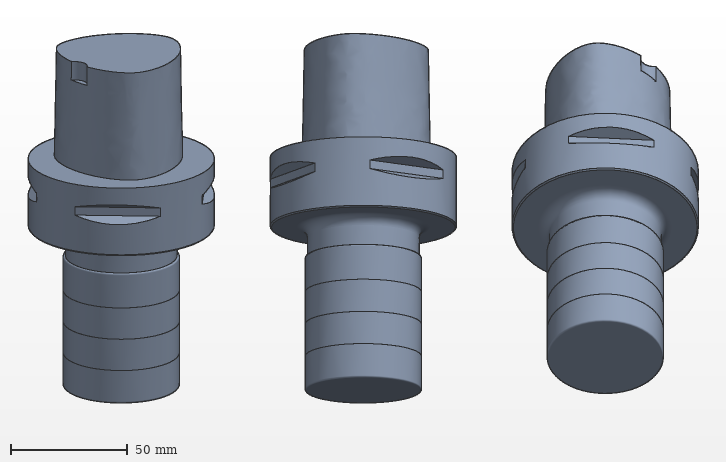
import cadquery as cq
import math

TOTAL_HEIGHT = 150.6
FLANGE_TOP = 102.4
FLANGE_BOTTOM = 71.7

FLANGE_RADIUS = 80.0 / 2
FLANGE_CHAMFER = 0.6
NECK_RADIUS = 48.0 / 2
NECK_FILLET = 4.5

DISC_RADIUS = 50.0 / 2
DISC_STACK_TOP = 58.7
DISC_JOINTS = [43.2, 29.0, 14.9]
DISC_TOP_EDGE_FILLET = 0.9
BOTTOM_EDGE_FILLET = 0.8

SHANK_BASE_RADIUS = 27.5
SHANK_TOP_RADIUS = 26.7
SHANK_LOBE_HEIGHT = 2.0
LOBE_COUNT = 3
OUTLINE_POINTS = 48

NOTCH_RADIUS = 5.9
NOTCH_CENTER_Y = -27.7
NOTCH_DEPTH = 8.3

GROOVE_COUNT = 4
GROOVE_FIRST_ANGLE = 45.0
GROOVE_HEIGHT = 90.4
GROOVE_FLOOR_WIDTH = 3.8
GROOVE_FLOOR_DISTANCE = 35.5
GROOVE_WALL_ANGLE = 30.0


def lobed_outline(height, mean_radius):
    """Closed constant-width curve with one lobe toward +Y."""
    points = []
    for index in range(OUTLINE_POINTS):
        angle = 2 * math.pi * index / OUTLINE_POINTS
        phase = LOBE_COUNT * (angle - math.pi / 2)
        support = mean_radius + SHANK_LOBE_HEIGHT * math.cos(phase)
        slope = -LOBE_COUNT * SHANK_LOBE_HEIGHT * math.sin(phase)
        x = support * math.cos(angle) - slope * math.sin(angle)
        y = support * math.sin(angle) + slope * math.cos(angle)
        points.append(cq.Vector(x, y, height))
    return cq.Wire.assembleEdges([cq.Edge.makeSpline(points, periodic=True)])


def make_shank():
    base = lobed_outline(FLANGE_TOP, SHANK_BASE_RADIUS)
    top = lobed_outline(TOTAL_HEIGHT, SHANK_TOP_RADIUS)
    shank = cq.Workplane(obj=cq.Solid.makeLoft([base, top], True))
    notch = (
        cq.Workplane("XY", origin=(0, NOTCH_CENTER_Y, TOTAL_HEIGHT - NOTCH_DEPTH))
        .circle(NOTCH_RADIUS)
        .extrude(NOTCH_DEPTH)
    )
    return shank.cut(notch)


def make_groove_cutter():
    """Straight trapezoidal bar that opens outward along +X."""
    depth = FLANGE_RADIUS - GROOVE_FLOOR_DISTANCE
    floor_half = GROOVE_FLOOR_WIDTH / 2
    mouth_half = floor_half + depth * math.tan(math.radians(GROOVE_WALL_ANGLE))
    return (
        cq.Workplane("XZ")
        .moveTo(GROOVE_FLOOR_DISTANCE, GROOVE_HEIGHT - floor_half)
        .lineTo(FLANGE_RADIUS, GROOVE_HEIGHT - mouth_half)
        .lineTo(FLANGE_RADIUS, GROOVE_HEIGHT + mouth_half)
        .lineTo(GROOVE_FLOOR_DISTANCE, GROOVE_HEIGHT + floor_half)
        .close()
        .extrude(FLANGE_RADIUS, both=True)
    )


def make_flange_and_neck():
    body = (
        cq.Workplane("XZ")
        .moveTo(0, DISC_STACK_TOP)
        .lineTo(NECK_RADIUS, DISC_STACK_TOP)
        .lineTo(NECK_RADIUS, FLANGE_BOTTOM - NECK_FILLET)
        .radiusArc((NECK_RADIUS + NECK_FILLET, FLANGE_BOTTOM), NECK_FILLET)
        .lineTo(FLANGE_RADIUS - FLANGE_CHAMFER, FLANGE_BOTTOM)
        .lineTo(FLANGE_RADIUS, FLANGE_BOTTOM + FLANGE_CHAMFER)
        .lineTo(FLANGE_RADIUS, FLANGE_TOP)
        .lineTo(0, FLANGE_TOP)
        .close()
        .revolve(360, (0, 0, 0), (0, 1, 0))
    )
    cutter = make_groove_cutter()
    for index in range(GROOVE_COUNT):
        angle = GROOVE_FIRST_ANGLE + index * 360 / GROOVE_COUNT
        body = body.cut(cutter.rotate((0, 0, 0), (0, 0, 1), angle))
    return body


def make_holder():
    return make_flange_and_neck().union(make_shank())


def make_disc(bottom, top):
    disc = cq.Workplane("XY", origin=(0, 0, bottom)).circle(DISC_RADIUS).extrude(top - bottom)
    if top == DISC_STACK_TOP:
        disc = disc.faces(">Z").edges().fillet(DISC_TOP_EDGE_FILLET)
    if bottom == 0:
        disc = disc.faces("<Z").edges().fillet(BOTTOM_EDGE_FILLET)
    return disc


holder = make_holder()

disc_levels = [DISC_STACK_TOP, *DISC_JOINTS, 0]
discs = []
for upper, lower in zip(disc_levels, disc_levels[1:]):
    discs.append(make_disc(lower, upper).val())

result = cq.Compound.makeCompound([holder.val(), *discs])